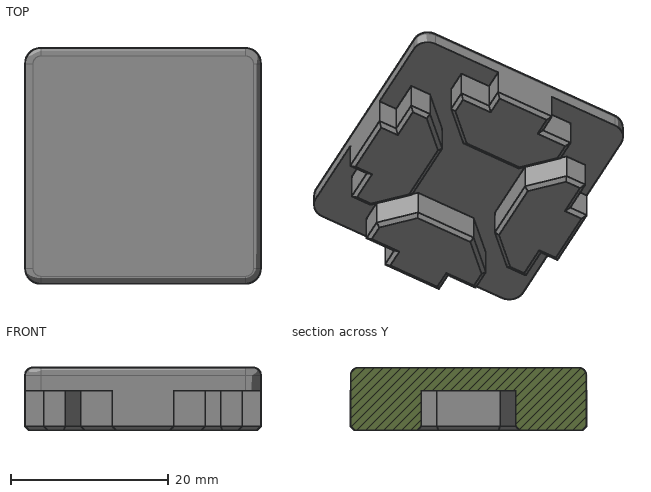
import cadquery as cq
import math


side = 30.0
height = 8.0
plate_thickness = 3.0
corner_radius = 2.0
top_edge_radius = 1.0

plug_length = height - plate_thickness
neck_half_width = 3.9
head_half_width = 7.9
lip_inner_face = 12.6
diagonal_gap = 2.8
taper_start = head_half_width + diagonal_gap / 2 * math.sqrt(2)
plug_inner_face = 6.0
plug_chamfer = 0.5
slot_count = 4


def make_plate():
    """Square cover plate with rounded corners and a rounded top rim."""
    plate = (
        cq.Workplane("XY")
        .workplane(offset=plug_length)
        .rect(side, side)
        .extrude(plate_thickness)
    )
    plate = plate.edges("|Z").fillet(corner_radius)
    return plate.faces(">Z").edges().fillet(top_edge_radius)


def make_plug():
    """Plug for the -Y slot: a neck flush with the plate and a head tapering inward at 45 degrees."""
    taper_depth = taper_start - plug_inner_face
    inner_half_width = head_half_width - taper_depth
    half_outline = [
        (neck_half_width, -side / 2),
        (neck_half_width, -lip_inner_face),
        (head_half_width, -lip_inner_face),
        (head_half_width, -taper_start),
        (inner_half_width, -plug_inner_face),
    ]
    mirrored_half = [(-x, y) for x, y in reversed(half_outline)]
    plug = (
        cq.Workplane("XY")
        .polyline(half_outline + mirrored_half)
        .close()
        .extrude(plug_length)
    )
    return plug.faces("<Z").edges().chamfer(plug_chamfer)


result = make_plate()
plug = make_plug()
for slot in range(slot_count):
    angle = slot * 360.0 / slot_count
    result = result.union(plug.rotate((0, 0, 0), (0, 0, 1), angle))
result = result.clean()